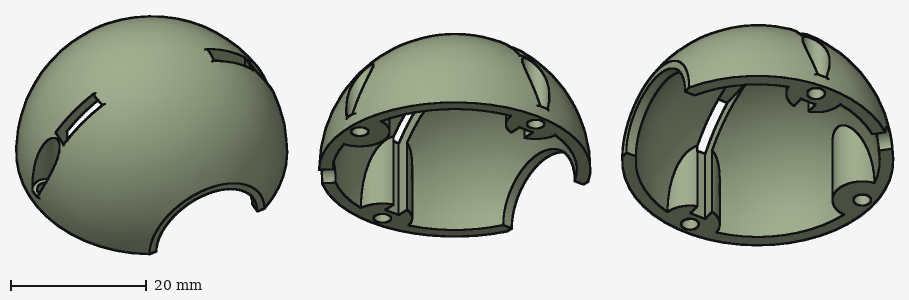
import cadquery as cq

outer_radius = 19.95
wall = 2.0
inner_radius = outer_radius - wall
flat_x = 17.52

screw_offset_x = 0.8
screw_diameter = 2.6
seat_diameter = 4.0
seat_height = 2.0
boss_wall = 2.4
seat_radius = seat_diameter / 2
boss_radius = seat_radius + boss_wall
screw_reach = outer_radius - seat_radius
screw_places = [
    (screw_offset_x, screw_reach),
    (screw_offset_x, -screw_reach),
    (-screw_reach, 0),
]

slot_width = 2.5
slot_reach_y = 15.73
slot_top = 17.55

notch_radius = 2.0
notch_angle = 135.0

port_radius = 8.4
port_start_x = 14.37


def dome(radius):
    """Upper half of a ball standing on the XY plane."""
    return cq.Workplane("XY").sphere(radius, angle1=0)


def upright_cylinders(radius, bottom):
    """Cylinders at every screw place, from the given height to the dome top."""
    return (
        cq.Workplane("XY", origin=(0, 0, bottom))
        .pushPoints(screw_places)
        .circle(radius)
        .extrude(outer_radius - bottom)
    )


def slot_cutter():
    """One bar across the hollow dome that opens a slot on both sides."""
    return (
        cq.Workplane("XY", origin=(screw_offset_x, 0, 0))
        .rect(slot_width, 2 * slot_reach_y)
        .extrude(slot_top)
    )


def notch_cutter():
    """Radial round passage through the rim; only its upper half meets the dome."""
    return (
        cq.Workplane("YZ")
        .circle(notch_radius)
        .extrude(2 * outer_radius)
        .rotate((0, 0, 0), (0, 0, 1), notch_angle)
    )


def port_cutter():
    """Round passage along X from the cavity out through the flat side."""
    return (
        cq.Workplane("YZ", origin=(port_start_x, 0, 0))
        .circle(port_radius)
        .extrude(outer_radius - port_start_x)
    )


outer_dome = dome(outer_radius)
bosses = upright_cylinders(boss_radius, 0).intersect(outer_dome)
body = outer_dome.cut(dome(inner_radius)).union(bosses)

body = body.cut(upright_cylinders(screw_diameter / 2, 0))
body = body.cut(upright_cylinders(seat_radius, seat_height))

body = body.cut(slot_cutter()).cut(notch_cutter()).cut(port_cutter())

flat_trim = cq.Workplane("XY", origin=(flat_x + outer_radius, 0, 0)).box(
    2 * outer_radius, 4 * outer_radius, 4 * outer_radius
)
result = body.cut(flat_trim)